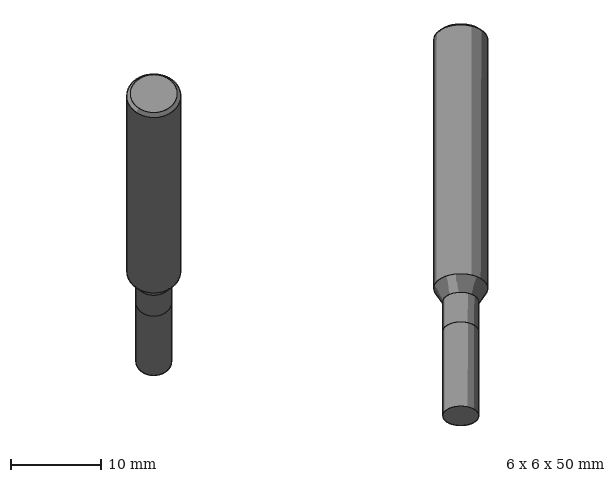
import cadquery as cq

total_length = 50.0
shank_radius = 3.0
end_chamfer = 0.4

tip_length = 11.1
slender_radius = 2.0
neck_length = 3.9
taper_length = 1.8

neck_top = tip_length + neck_length
taper_top = neck_top + taper_length


def make_tip():
    """Plain cylindrical cutting tip."""
    return cq.Workplane("XY").circle(slender_radius).extrude(tip_length)


def make_shank():
    """Neck, conical taper and chamfered shank, revolved about Z."""
    profile = [
        (0, tip_length),
        (slender_radius, tip_length),
        (slender_radius, neck_top),
        (shank_radius, taper_top),
        (shank_radius, total_length - end_chamfer),
        (shank_radius - end_chamfer, total_length),
        (0, total_length),
    ]
    return cq.Workplane("XZ").polyline(profile).close().revolve(360, (0, 0, 0), (0, 1, 0))


tip = make_tip()
shank = make_shank()

result = cq.Compound.makeCompound([tip.val(), shank.val()])